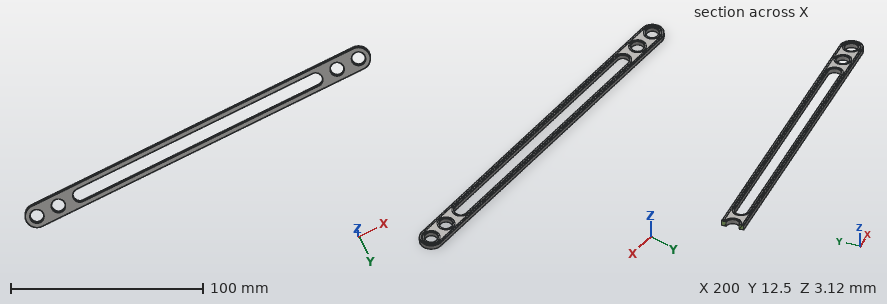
import cadquery as cq

length = 200.0
width = 12.5
thickness = 3.12

pitch = width
bore_diameter = 7.0
collar_diameter = 9.2
wall = (collar_diameter - bore_diameter) / 2
end_hole_x = (length - width) / 2
inner_hole_x = end_hole_x - pitch
slot_end_x = inner_hole_x - pitch

recess_depth = 0.2

edge_chamfer = 0.3


def stadium(end_x, diameter, height):
    """Upright round-ended prism on Z = 0, its end arcs centred at +/- end_x."""
    return cq.Workplane("XY").slot2D(2 * end_x + diameter, diameter).extrude(height)


def cylinders(diameter, height):
    """Upright cylinders on Z = 0 at the four round hole positions."""
    centres = [(side * x, 0) for side in (-1, 1) for x in (inner_hole_x, end_hole_x)]
    return cq.Workplane("XY").pushPoints(centres).circle(diameter / 2).extrude(height)


def pierced_bar():
    """Round-ended bar with its slot and holes, all their edges chamfered."""
    bar = stadium(end_hole_x, width, thickness)
    bar = bar.cut(stadium(slot_end_x, bore_diameter, thickness))
    bar = bar.cut(cylinders(bore_diameter, thickness))
    return bar.faces("<Z or >Z").edges().chamfer(edge_chamfer)


def recess():
    """Recess in the top face, inside the rim and around the collars."""
    floor_z = thickness - recess_depth
    pocket = stadium(end_hole_x, width - 2 * wall, recess_depth)
    pocket = pocket.cut(stadium(slot_end_x, collar_diameter, recess_depth))
    pocket = pocket.cut(cylinders(collar_diameter, recess_depth))
    return pocket.translate((0, 0, floor_z))


result = pierced_bar().cut(recess())